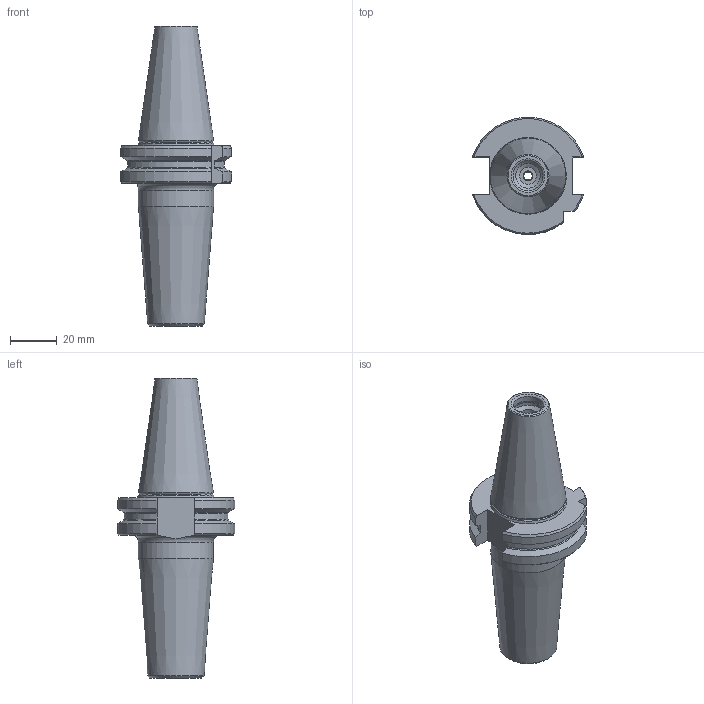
import cadquery as cq
import math

taper_length = 47.8
projection = 80.0

gauge_radius = 31.75 / 2
taper_slope = 7 / 48
taper_tip_chamfer = 0.4
taper_end_z = -1.0

undercut_radius = 15.6
undercut_root_z = -1.75
flare_start_z = -2.1
flare_start_radius = 16.0
flare_end_radius = 16.35

flange_radius = 25.0
flange_top_z = -3.2
flange_bottom_z = -19.1
flange_edge_height = 1.0
flange_edge_width = 0.6

groove_center_z = -11.1
groove_floor_radius = 44.3 / 2
groove_floor_width = 3.2
groove_root_fillet = 0.6
groove_flank_angle = 30.0

slot_width = 16.1
slot_floor_left = 16.4
slot_floor_right = 19.0
notch_x = 15.0
notch_y = 15.0

body_radius = 16.0
body_fillet = 3.0
nose_radius = 12.0
nose_chamfer = 1.0
nose_angle = 4.5

mouth_radius = 7.2
neck_radius = 6.4
neck_depth = 3.1
recess_radius = 6.65
recess_start_depth = 4.1
recess_end_depth = 5.5
thread_radius = 5.3
thread_depth = 24.0
drill_point_angle = 118.0
drill_flat_radius = 3.6
through_radius = 1.8
through_chamfer = 0.3


def revolve_about_z(profile):
    """Turn a closed XZ profile through a full circle about the tool axis."""
    return profile.revolve(360, (0, 0, 0), (0, 1, 0))


def make_body():
    """Outer shape: taper, undercut, flange, and shrink-fit nose."""
    tip_radius = gauge_radius - taper_length * taper_slope
    nose_start_z = -projection + (body_radius - nose_radius) / math.tan(math.radians(nose_angle))
    chamfer_radius = nose_radius + nose_chamfer * math.tan(math.radians(nose_angle))
    profile = (
        cq.Workplane("XZ")
        .moveTo(0, taper_length)
        .lineTo(tip_radius - taper_tip_chamfer, taper_length)
        .lineTo(tip_radius + taper_tip_chamfer * taper_slope, taper_length - taper_tip_chamfer)
        .lineTo(gauge_radius - taper_end_z * taper_slope, taper_end_z)
        .lineTo(undercut_radius, undercut_root_z)
        .lineTo(flare_start_radius, flare_start_z)
        .lineTo(flare_end_radius, flange_top_z)
        .lineTo(flange_radius - flange_edge_width, flange_top_z)
        .lineTo(flange_radius, flange_top_z - flange_edge_height)
        .lineTo(flange_radius, flange_bottom_z + flange_edge_width)
        .lineTo(flange_radius - flange_edge_width, flange_bottom_z)
        .lineTo(body_radius + body_fillet, flange_bottom_z)
        .radiusArc((body_radius, flange_bottom_z - body_fillet), -body_fillet)
        .lineTo(body_radius, nose_start_z)
        .lineTo(chamfer_radius, -projection + nose_chamfer)
        .lineTo(chamfer_radius - nose_chamfer, -projection)
        .lineTo(0, -projection)
        .close()
    )
    return revolve_about_z(profile)


def make_groove():
    """V-groove ring with a flat floor and rounded root corners."""
    half_floor = groove_floor_width / 2
    flank_rise = math.tan(math.radians(groove_flank_angle))
    half_mouth = half_floor + (flange_radius - groove_floor_radius) * flank_rise
    profile = (
        cq.Workplane("XZ")
        .moveTo(groove_floor_radius, groove_center_z + half_floor)
        .lineTo(flange_radius, groove_center_z + half_mouth)
        .lineTo(flange_radius, groove_center_z - half_mouth)
        .lineTo(groove_floor_radius, groove_center_z - half_floor)
        .close()
    )
    ring = revolve_about_z(profile)
    return ring.edges(cq.selectors.RadiusNthSelector(0)).fillet(groove_root_fillet)


def make_flange_cut(x_start, x_end, y_start, y_end):
    """Box cut running axially through the flange and its lower fillet."""
    height = flange_top_z - flange_bottom_z + body_fillet
    box = cq.Workplane("XY").box(x_end - x_start, y_end - y_start, height, centered=False)
    return box.translate((x_start, y_start, flange_bottom_z - body_fillet))


def make_bore():
    """Rounded mouth, recess, 45 degree countersink, thread bore, and coolant through hole."""
    mouth_rounding = mouth_radius - neck_radius
    countersink_depth = recess_end_depth + recess_radius - thread_radius
    point_length = (thread_radius - drill_flat_radius) / math.tan(math.radians(drill_point_angle / 2))
    floor_z = taper_length - thread_depth - point_length
    profile = (
        cq.Workplane("XZ")
        .moveTo(0, taper_length)
        .lineTo(mouth_radius, taper_length)
        .radiusArc((neck_radius, taper_length - mouth_rounding), -mouth_rounding)
        .lineTo(neck_radius, taper_length - neck_depth)
        .lineTo(recess_radius, taper_length - recess_start_depth)
        .lineTo(recess_radius, taper_length - recess_end_depth)
        .lineTo(thread_radius, taper_length - countersink_depth)
        .lineTo(thread_radius, taper_length - thread_depth)
        .lineTo(drill_flat_radius, floor_z)
        .lineTo(through_radius + through_chamfer, floor_z)
        .lineTo(through_radius, floor_z - through_chamfer)
        .lineTo(through_radius, -projection)
        .lineTo(0, -projection)
        .close()
    )
    return revolve_about_z(profile)


half_slot = slot_width / 2
left_slot = make_flange_cut(-flange_radius, -slot_floor_left, -half_slot, half_slot)
right_slot = make_flange_cut(slot_floor_right, flange_radius, -half_slot, half_slot)
notch = make_flange_cut(notch_x, flange_radius, -flange_radius, -notch_y)

result = make_body()
for cutter in (make_groove(), left_slot, right_slot, notch, make_bore()):
    result = result.cut(cutter)